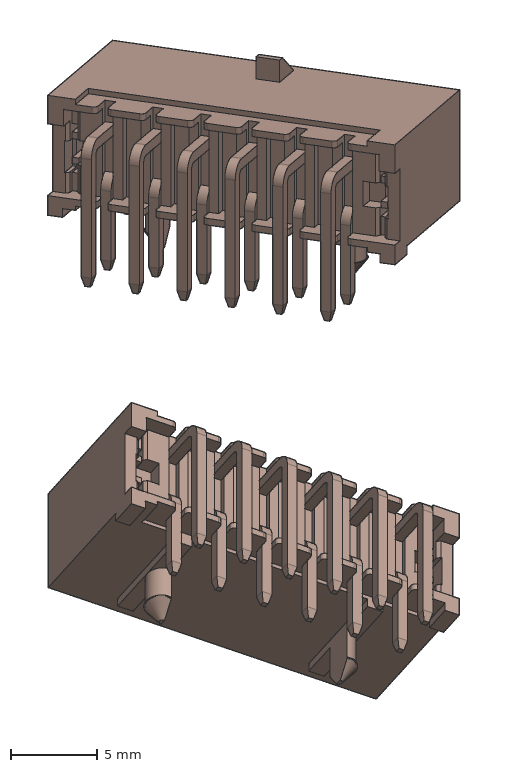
import cadquery as cq
import math


width = 21.7
depth = 9.9
top_z = 7.4
base_z = 0.55
half_width = width / 2

shelf_thickness = 0.41
shelf_half_width = 9.11
top_relief_height = 0.33
top_relief_depth = 1.95
base_relief_height = 0.25
base_relief_depth = 1.87
opening_bottom = base_z + base_relief_height + shelf_thickness
opening_top = top_z - top_relief_height - shelf_thickness
opening_half_width = 9.85
back_wall_y = 0.98
side_notch_depth = 0.75
side_notch_top = 5.65

slot_inner_x = 9.45
slot_end_y = 1.3
pocket_end_y = 1.97
slot_lead_in = 0.2
wall_pocket_x = 8.46
wall_pocket_z = (2.95, 4.5)
side_pocket_x = 10.11
side_pocket_z = (2.47, 4.43)
window_ranges = ((2.35, 2.89), (3.28, 4.43), (4.84, 5.35))

pins_per_row = 6
pitch = 3.0
pin_size = 0.65
pin_bend_outer_radius = 1.0
pin_bend_inner_radius = pin_bend_outer_radius - pin_size
pin_root_y = 1.95
pin_tip_z = -3.2
pin_tip_length = 0.63
pin_tip_size = 0.33
outer_pin_y = -2.0
outer_pin_z = 5.42
inner_pin_y = outer_pin_y + pitch
inner_pin_z = outer_pin_z - pitch
pin_slot_end_y = inner_pin_y + pin_size / 2
pin_slot_corner_radius = 0.28
rib_gap_width = 1.13
rib_gap_depth = 0.56

foot_width = 0.93
rail_end_y = 8.85
peg_x = 5.82
peg_y = 5.32
peg_radius = 1.02
peg_barb_radius = 1.1
peg_barb_z = -2.05
peg_tip_radius = 0.22

latch_half_width = 0.74
latch_rear_y = 7.1
latch_crest_y = 7.53
latch_front_y = 9.25
latch_height = 1.37


def box(x_range, y_range, z_range):
    """Axis-aligned box between the given limits."""
    (x0, x1), (y0, y1), (z0, z1) = x_range, y_range, z_range
    return cq.Workplane("XY").box(x1 - x0, y1 - y0, z1 - z0, centered=False).translate((x0, y0, z0))


def with_mirror(shape):
    """The shape together with its copy on the other side of X = 0."""
    return shape.union(shape.mirror("YZ"))


def prism_z(points, z_range):
    """Upright prism over an XY outline."""
    z0, z1 = z_range
    return cq.Workplane("XY").workplane(offset=z0).polyline(points).close().extrude(z1 - z0)


def pin_positions():
    """X of every pin in a row."""
    return [(i - (pins_per_row - 1) / 2) * pitch for i in range(pins_per_row)]


def housing_block():
    """Block with relieved shelves, the rear opening and the notched side walls."""
    across = (-half_width, half_width)
    shelf = (-shelf_half_width, shelf_half_width)
    opening = (-opening_half_width, opening_half_width)
    block = box(across, (0, depth), (base_z, top_z))
    block = block.cut(box(shelf, (0, top_relief_depth), (top_z - top_relief_height, top_z)))
    block = block.cut(box(shelf, (0, base_relief_depth), (base_z, base_z + base_relief_height)))
    block = block.cut(box(opening, (0, back_wall_y), (opening_bottom, opening_top)))
    return block.cut(box(across, (0, side_notch_depth), (opening_bottom, side_notch_top)))


def clip_slots():
    """Slots along the side walls with lead-ins, locking pockets and through windows."""
    slot_x = (slot_inner_x, opening_half_width)
    slot = box(slot_x, (0, slot_end_y), (opening_bottom, opening_top))
    inner_lead_in = prism_z(
        [
            (slot_inner_x, back_wall_y),
            (slot_inner_x - slot_lead_in, back_wall_y),
            (slot_inner_x, back_wall_y + slot_lead_in),
        ],
        (opening_bottom, opening_top),
    )
    outer_lead_in = prism_z(
        [
            (opening_half_width, side_notch_depth),
            (opening_half_width + slot_lead_in, side_notch_depth),
            (opening_half_width, side_notch_depth + slot_lead_in),
        ],
        (opening_bottom, side_notch_top),
    )
    slot = slot.union(inner_lead_in).union(outer_lead_in)
    slot = slot.union(box((wall_pocket_x, slot_inner_x), (0, pocket_end_y), wall_pocket_z))
    slot = slot.union(box((opening_half_width, side_pocket_x), (0, pocket_end_y), side_pocket_z))
    for window_z in window_ranges:
        slot = slot.union(box(slot_x, (0, depth), window_z))
    return with_mirror(slot)


def pin_slot(x):
    """Cut that lets a pin pair through both shelves, flared by rounded corners at the rear."""
    half = pin_size / 2
    r = pin_slot_corner_radius
    mid = r * (1 - math.sqrt(0.5))
    return (
        cq.Workplane("XY")
        .workplane(offset=base_z)
        .moveTo(x - half - r, 0)
        .threePointArc((x - half - mid, mid), (x - half, r))
        .lineTo(x - half, pin_slot_end_y)
        .lineTo(x + half, pin_slot_end_y)
        .lineTo(x + half, r)
        .threePointArc((x + half + mid, mid), (x + half + r, 0))
        .close()
        .extrude(top_z - base_z)
    )


def rib_gap(x):
    """Upright groove in the back wall between two neighbouring pins."""
    groove_y = (back_wall_y, back_wall_y + rib_gap_depth)
    return box((x - rib_gap_width / 2, x + rib_gap_width / 2), groove_y, (opening_bottom, opening_top))


def pin(x, y, z):
    """Square pin running out of the housing at height z, bent down at y, with a tapered tip."""
    half = pin_size / 2
    shoulder_z = pin_tip_z + pin_tip_length
    taper = math.degrees(math.atan((pin_size - pin_tip_size) / 2 / pin_tip_length))
    outer_bend_y = y - half + pin_bend_outer_radius
    bend_z = z + half - pin_bend_outer_radius
    outer_mid = pin_bend_outer_radius * math.sqrt(0.5)
    inner_mid = pin_bend_inner_radius * math.sqrt(0.5)
    bar = (
        cq.Workplane("YZ")
        .workplane(offset=x - half)
        .moveTo(pin_root_y, z + half)
        .lineTo(outer_bend_y, z + half)
        .threePointArc((outer_bend_y - outer_mid, bend_z + outer_mid), (y - half, bend_z))
        .lineTo(y - half, shoulder_z)
        .lineTo(y + half, shoulder_z)
        .lineTo(y + half, bend_z)
        .threePointArc((outer_bend_y - inner_mid, bend_z + inner_mid), (outer_bend_y, z - half))
        .lineTo(pin_root_y, z - half)
        .close()
        .extrude(pin_size)
    )
    tip = (
        cq.Workplane("XY", origin=(x, y, shoulder_z))
        .rect(pin_size, pin_size)
        .extrude(-pin_tip_length, taper=taper)
    )
    return bar.union(tip)


def feet():
    """Short feet under the rear corners."""
    foot_x = (half_width - foot_width, half_width)
    return with_mirror(box(foot_x, (0, base_relief_depth), (0, base_z)))


def pegs():
    """Half-round board pegs with a barbed cone, each on a rail under the housing."""
    peg_side = (peg_x, peg_x + peg_radius)
    full_peg = (
        cq.Workplane("XZ", origin=(peg_x, peg_y, 0))
        .moveTo(0, 0)
        .lineTo(peg_radius, 0)
        .lineTo(peg_radius, peg_barb_z)
        .lineTo(peg_barb_radius, peg_barb_z)
        .lineTo(peg_tip_radius, pin_tip_z)
        .lineTo(0, pin_tip_z)
        .close()
        .revolve(360, (0, 0), (0, 1))
    )
    keep = box(
        (peg_x, peg_x + peg_barb_radius), (peg_y - peg_radius, peg_y + peg_radius), (pin_tip_z, 0)
    )
    rail = box(peg_side, (base_relief_depth, rail_end_y), (0, base_z))
    return with_mirror(rail.union(full_peg.intersect(keep)))


def latch():
    """Wedge that a mating plug snaps over."""
    crest_z = top_z + latch_height
    return (
        cq.Workplane("YZ")
        .workplane(offset=-latch_half_width)
        .polyline(
            [
                (latch_rear_y, top_z),
                (latch_rear_y, crest_z),
                (latch_crest_y, crest_z),
                (latch_front_y, top_z),
            ]
        )
        .close()
        .extrude(2 * latch_half_width)
    )


body = housing_block().cut(clip_slots())
for x in pin_positions():
    body = body.cut(pin_slot(x))
for x in pin_positions()[:-1]:
    body = body.cut(rib_gap(x + pitch / 2))
body = body.union(feet()).union(pegs()).union(latch())
for x in pin_positions():
    body = body.union(pin(x, outer_pin_y, outer_pin_z))
    body = body.union(pin(x, inner_pin_y, inner_pin_z))

result = body